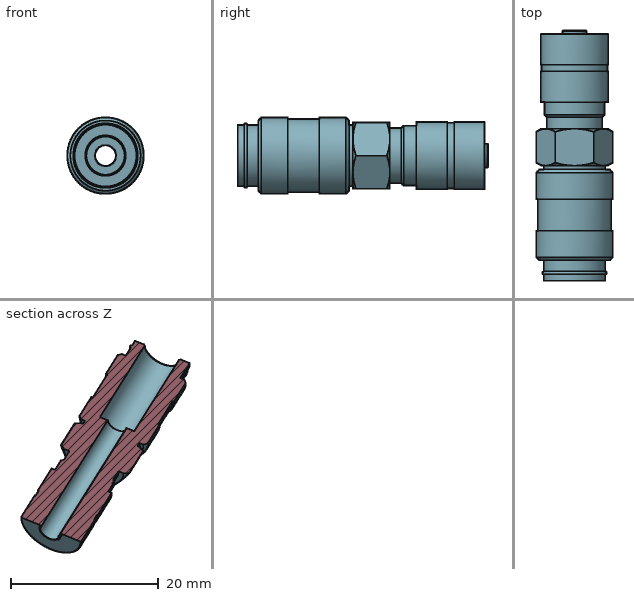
import cadquery as cq
import math

length = 34.0

spigot_radius = 4.18
ring_radius = 4.4
ring_station = 1.1
ring_half_width = ring_radius - spigot_radius

sleeve_radius = 5.2
sleeve_start, sleeve_end = 2.8, 15.13
sleeve_chamfer = 0.45
waist_radius = 5.0
waist_start, waist_end = 6.8, 11.1

hex_start, hex_end = 15.65, 20.65
hex_corner_radius = sleeve_radius
hex_flat_radius = hex_corner_radius * math.cos(math.radians(30))
hex_chamfer_depth = (hex_corner_radius - hex_flat_radius) * math.tan(math.radians(30))

neck_radius = 3.77
shoulder_radius = 4.08
shoulder_start = 22.2
shoulder_chamfer = shoulder_radius - neck_radius

collar_radius = 4.6
collar_start, collar_end = 24.25, 33.52
collar_chamfer = 0.1
groove_radius = 4.5
groove_start, groove_end = 28.42, 29.35

tip_radius = 1.63
tip_chamfer = 0.15

bore_radius = 2.6
bore_depth = 13.6
bore_chamfer = 0.17
passage_radius = 1.4


def cylinder(radius, start, end):
    """Cylinder along +Y between two stations."""
    return cq.Workplane("XZ", origin=(0, start, 0)).circle(radius).extrude(start - end)


def annular_cut(outer_radius, inner_radius, start, end):
    return cylinder(outer_radius, start, end).cut(cylinder(inner_radius, start, end))


def make_spigot():
    spigot = cylinder(spigot_radius, 0, hex_start)
    ring = (
        cq.Workplane("XY")
        .moveTo(0, ring_station - ring_half_width)
        .lineTo(spigot_radius, ring_station - ring_half_width)
        .threePointArc((ring_radius, ring_station), (spigot_radius, ring_station + ring_half_width))
        .lineTo(0, ring_station + ring_half_width)
        .close()
        .revolve(360, (0, 0, 0), (0, 1, 0))
    )
    return spigot.union(ring)


def make_sleeve():
    sleeve = cylinder(sleeve_radius, sleeve_start, sleeve_end).faces("<Y or >Y").chamfer(sleeve_chamfer)
    return sleeve.cut(annular_cut(sleeve_radius, waist_radius, waist_start, waist_end))


def make_hex():
    """Hexagonal prism whose corners are trimmed by a 30 degree cone at each end."""
    prism = (
        cq.Workplane("XZ", origin=(0, hex_start, 0))
        .polygon(6, 2 * hex_corner_radius)
        .extrude(hex_start - hex_end)
    )
    envelope = (
        cq.Workplane("XY")
        .polyline([
            (0, hex_start),
            (hex_flat_radius, hex_start),
            (hex_corner_radius, hex_start + hex_chamfer_depth),
            (hex_corner_radius, hex_end - hex_chamfer_depth),
            (hex_flat_radius, hex_end),
            (0, hex_end),
        ])
        .close()
        .revolve(360, (0, 0, 0), (0, 1, 0))
    )
    return prism.intersect(envelope)


def make_rear():
    neck = cylinder(neck_radius, hex_end, shoulder_start)
    shoulder = cylinder(shoulder_radius, shoulder_start, collar_start).faces("<Y").chamfer(shoulder_chamfer)
    collar = cylinder(collar_radius, collar_start, collar_end).faces(">Y").chamfer(collar_chamfer)
    collar = collar.cut(annular_cut(collar_radius, groove_radius, groove_start, groove_end))
    tip = cylinder(tip_radius, collar_end, length).faces(">Y").chamfer(tip_chamfer)
    return neck.union(shoulder).union(collar).union(tip)


def make_passage():
    """Chamfered front bore continuing as a smaller through hole."""
    bore = cylinder(bore_radius, 0, bore_depth)
    mouth = (
        cq.Workplane("XZ")
        .circle(bore_radius + bore_chamfer)
        .workplane(offset=-bore_chamfer)
        .circle(bore_radius)
        .loft()
    )
    return bore.union(mouth).union(cylinder(passage_radius, 0, length))


body = make_spigot().union(make_sleeve()).union(make_hex()).union(make_rear())
body = body.cut(make_passage())
result = body.translate((0, -length / 2, 0))